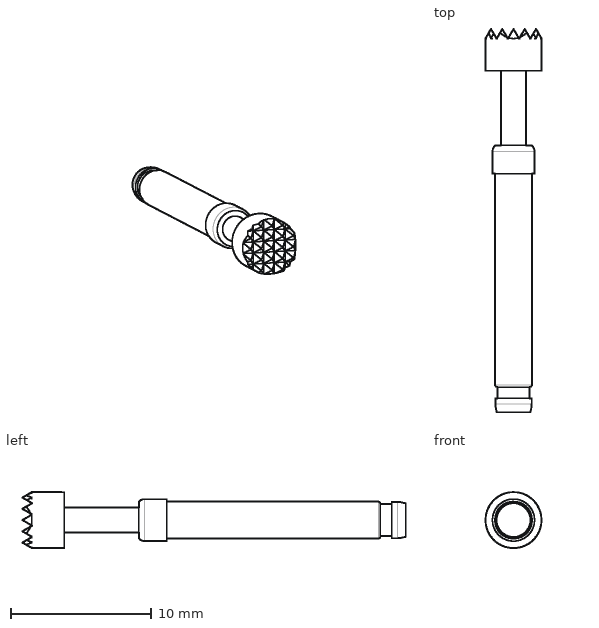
import cadquery as cq
import math


total_length = 27.3
head_length = 3.0
rear_band_length = 1.0
groove_length = 0.8
barrel_front = 17.0
collar_length = 2.0

head_diameter = 4.0
plunger_diameter = 1.8
collar_diameter = 3.0
barrel_diameter = 2.65
groove_diameter = 2.3
rear_band_diameter = 2.6

collar_round_length = 0.4
collar_round_step = 0.2
rear_round_length = 0.6
rear_round_step = 0.1

tooth_pitch = 0.8
groove_angle = 60.0
grooves_per_direction = 6

groove_front = rear_band_length + groove_length
collar_front = barrel_front + collar_length
head_back = total_length - head_length
tooth_depth = tooth_pitch / 2 / math.tan(math.radians(groove_angle / 2))


def tangent_radius(length, step):
    """Radius of an arc tangent to a cylinder side that moves inward by step over length."""
    return (length**2 + step**2) / (2 * step)


def make_turned_body():
    """Revolve the stepped half-outline about the Y axis."""
    band_radius = rear_band_diameter / 2
    rear_radius = band_radius - rear_round_step
    neck_radius = groove_diameter / 2
    barrel_radius = barrel_diameter / 2
    barrel_round = barrel_radius - neck_radius
    barrel_side_y = groove_front + barrel_round
    collar_radius = collar_diameter / 2
    collar_end_radius = collar_radius - collar_round_step
    collar_side_y = collar_front - collar_round_length
    plunger_radius = plunger_diameter / 2
    head_radius = head_diameter / 2

    rear_arc = tangent_radius(rear_round_length, rear_round_step)
    collar_arc = tangent_radius(collar_round_length, collar_round_step)

    outline = (
        cq.Workplane("XY")
        .moveTo(0, 0)
        .lineTo(rear_radius, 0)
        .radiusArc((band_radius, rear_round_length), -rear_arc)
        .lineTo(band_radius, rear_band_length)
        .lineTo(neck_radius, rear_band_length)
        .lineTo(neck_radius, groove_front)
        .radiusArc((barrel_radius, barrel_side_y), -barrel_round)
        .lineTo(barrel_radius, barrel_front)
        .lineTo(collar_radius, barrel_front)
        .lineTo(collar_radius, collar_side_y)
        .radiusArc((collar_end_radius, collar_front), -collar_arc)
        .lineTo(plunger_radius, collar_front)
        .lineTo(plunger_radius, head_back)
        .lineTo(head_radius, head_back)
        .lineTo(head_radius, total_length)
        .lineTo(0, total_length)
        .close()
    )
    return outline.revolve(360, (0, 0, 0), (0, 1, 0))


def make_tooth_groove(center_x):
    """V-shaped cutter running along Z, with its valley at the given X."""
    half_pitch = tooth_pitch / 2
    return (
        cq.Workplane("XY")
        .moveTo(center_x, total_length - tooth_depth)
        .lineTo(center_x + half_pitch, total_length)
        .lineTo(center_x - half_pitch, total_length)
        .close()
        .extrude(head_diameter, both=True)
    )


def cut_teeth(body):
    """Cut evenly spaced grooves along Z and along X across the front face of the head."""
    for index in range(grooves_per_direction):
        center_x = (index - (grooves_per_direction - 1) / 2) * tooth_pitch
        groove = make_tooth_groove(center_x)
        crossing_groove = groove.rotate((0, 0, 0), (0, 1, 0), 90)
        body = body.cut(groove)
        body = body.cut(crossing_groove)
    return body


result = cut_teeth(make_turned_body())